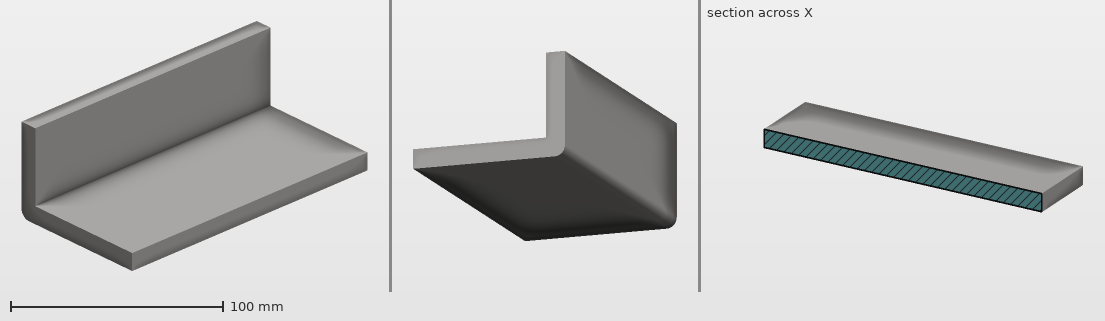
import cadquery as cq

base_width = 76.2
length = 152.4
height = 50.8

thickness = 9.525
heel_radius = 5.08


def angle_bar():
    """L-shaped bar along Y: base leg on the XY plane, upright leg on the -X side."""
    base_leg = cq.Workplane("XY").box(base_width, length, thickness, centered=(False, True, False))
    upright_leg = cq.Workplane("XY").box(thickness, length, height, centered=(False, True, False))
    return base_leg.union(upright_leg)


def round_heel(bar):
    """Round the outer corner edge where the two legs meet."""
    return bar.faces("<X").edges("<Z").fillet(heel_radius)


result = round_heel(angle_bar())